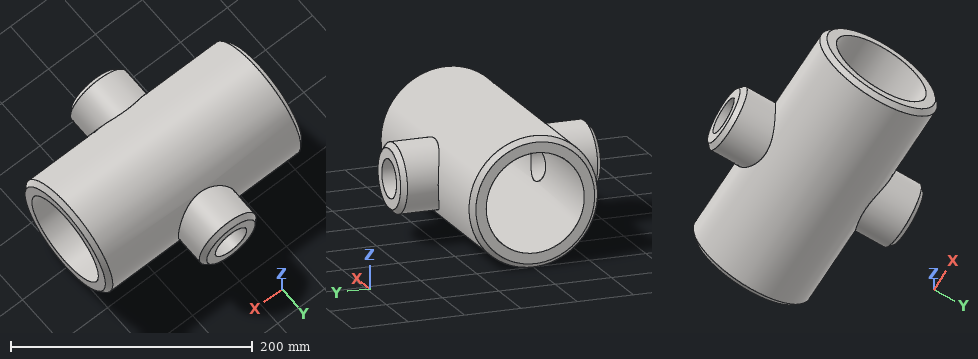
import cadquery as cq

pipe_length = 209.3
pipe_diameter = 114.3
pipe_bore = 87.0

branch_span = 177.7
branch_diameter = 60.7
branch_bore = 33.5

bevel = 4.4


def bevelled_bar(plane, diameter, length):
    """Solid cylinder centred on the origin, bevelled at both ends."""
    bar = cq.Workplane(plane).circle(diameter / 2).extrude(length / 2, both=True)
    return bar.edges("%CIRCLE").chamfer(bevel)


def bore(plane, diameter, length):
    """Through-hole cutter centred on the origin."""
    return cq.Workplane(plane).circle(diameter / 2).extrude(length / 2, both=True)


body = bevelled_bar("YZ", pipe_diameter, pipe_length)
body = body.union(bevelled_bar("XZ", branch_diameter, branch_span))

body = body.cut(bore("YZ", pipe_bore, pipe_length))
result = body.cut(bore("XZ", branch_bore, branch_span))